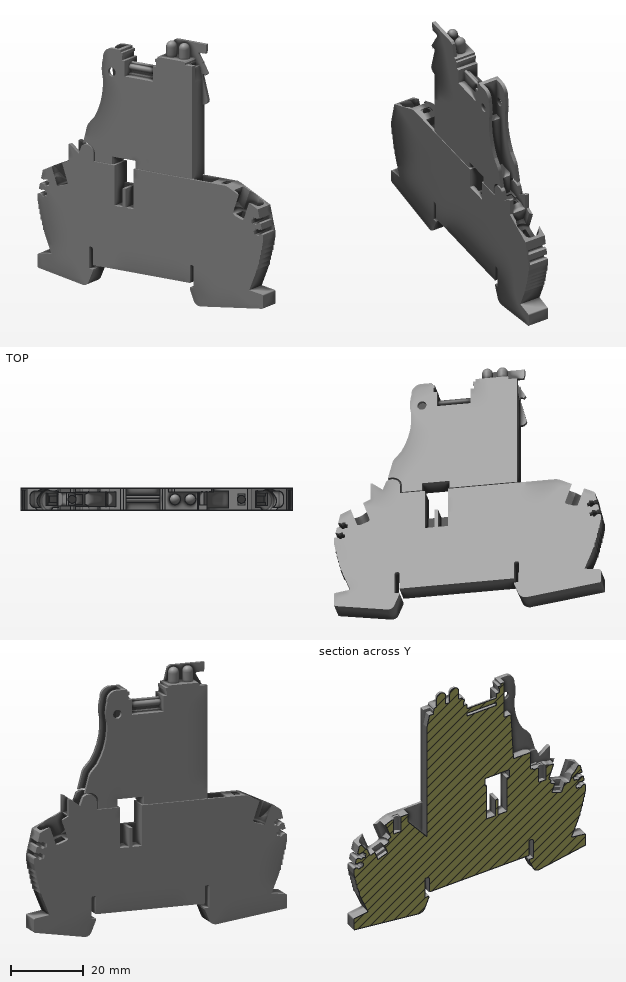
import cadquery as cq

LENGTH = 74.5
WIDTH = 6.1
HEIGHT = 73.17
END_X = LENGTH / 2
SIDE_Y = WIDTH / 2

DECK_Z = 35.7
RAIL_Z = 6.15
HOOK_Z = 4.9
HOOK_NOSE_Z = 4.4
RAIL_SLOT_TOP_Z = 11.3
RAIL_SLOT_WIDTH = 1.3
RAIL_SLOT_FILLET = RAIL_SLOT_WIDTH / 3
LEFT_SLOT_X = (-20.3, -20.3 + RAIL_SLOT_WIDTH)
RIGHT_SLOT_X = (13.05, 13.05 + RAIL_SLOT_WIDTH)
SHOULDER = (35.5, 30.66)
FOOT_TOP_Z = 6.55
FOOT_BOTTOM_Z = 2.6
END_FILLET = 0.4

GRIP_COUNT = 5
GRIP_START = (37.05, 20.75)
GRIP_END = (35.3, 13.55)
GRIP_DEPTH = 0.3

EAR_LEFT_X = -27.0
EAR_RIGHT_X = -18.75
EAR_TIP_Z = 39.4
EAR_TIP_WIDTH = 0.5
EAR_FOOT_Z = 34.6
EAR_VALLEY = (-23.63, 37.2)
EAR_CENTRE = (-21.15, 37.8)
EAR_RADIUS = EAR_RIGHT_X - EAR_CENTRE[0]
EAR_GAP = 0.5
EAR_CHANNEL_HALF_WIDTH = 1.85
EAR_CHANNEL_FLOOR_Z = 35.2
CHANNEL_STEP_X = -22.4
RECESS_END_X = -20.35

FUNNEL_TILT = 19.4
FUNNEL_RADIUS = 3.25
FUNNEL_Y = -0.4
FUNNEL_BOTTOM = (28.9, 27.3)
FUNNEL_FILLET = 0.5
FUNNEL_LENGTH = 12.0
THROAT_HALF_WIDTH = 2.3
THROAT_FILLET = 1.6
BLADE_SLOT_X = 3.2
BLADE_SLOTS = ((3.5, 2.0), (1.7, 3.0))

TEST_HOLE_X = 23.2
TEST_HOLE_DIAMETER = 2.2
TEST_HOLE_DEPTH = 5.0
TEST_RECESS = (1.9, 3.0, 0.3)

MARKER_BACK_Y = 2.6
MARKER_ROWS = 2
MARKER_STEP = (0.75, -3.05)

WINDOW_X = (-11.87, -5.47)
WINDOW_TOP_X = (-12.65, -4.93)
WINDOW_TOP_Z = 38.1
WINDOW_SILL_Z = 29.6
WELL_FLOOR_Z = 24.2
WELL_RIB_X = (-9.13, -8.2)
WELL_BACK_Y = 1.85

DECK_POCKET_X = (13.8, 19.7)
DECK_POCKET_Y = (-2.4, 2.3)
DECK_POCKET_DEPTHS = (10.0, 2.7)

MODULE_TOP_Z = 68.85
MODULE_RIGHT_X = 13.8
MODULE_GAP = 0.25
CHEEK = 1.02
CORE_HALF_WIDTH = SIDE_Y - CHEEK
CAVITY_FLOOR_Z = 41.5
CAVITY_LEDGE_Z = 56.9
CAVITY_LOWER_WALL_X = (-14.1, -13.3)
CAVITY_UPPER_WALL_X = -11.1
POST_HALF_WIDTH = 1.36
POST_X = -19.6
POST_CHAMFER_X = -18.4
PIVOT_X = -12.7
PIVOT_Z = 62.15
PIVOT_DIAMETER = 2.5

SADDLE_X = (-8.45, 0.88)
SADDLE_FLOOR_Z = 61.57
SADDLE_STEP_Z = 66.0
LATCH_Z = (67.3, 68.16)
BAR_Y = -0.05
BAR_RADIUS = 0.85
BAR_TOP_Z = 64.5
BAR_FOOT_Z = 62.0
BAR_FIN_Y = (0.25, 0.65, 1.1)
BAR_FIN_TOP_Z = 65.1

PIN_X = (5.0, 9.2)
PIN_DIAMETER = 3.0

CORNER_NOTCH_X = (11.5, MODULE_RIGHT_X)
CORNER_NOTCH_Z = 67.95
CORNER_POCKET_X = (11.7, 13.0)
CORNER_POCKET_Y = (-1.6, CORE_HALF_WIDTH)
CORNER_POCKET_FLOOR_Z = 66.9
CORNER_POCKET_EXIT_Z = 63.0

FLAG_THICKNESS = 1.0
FLAG_ROOT_X = 11.0


def prism(profile, y_low, y_high):
    """Extrude a closed XZ sketch drawn on the y_high plane down to y_low."""
    return profile(cq.Workplane("XZ", origin=(0, y_high, 0))).close().extrude(y_high - y_low)


def plate(points, y_low=-SIDE_Y, y_high=SIDE_Y):
    """Straight-sided plate from XZ corner points."""
    return prism(lambda plane: plane.polyline(points), y_low, y_high)


def block(x_range, y_range, z_range):
    """Axis-aligned box between the given limits."""
    size = [high - low for low, high in (x_range, y_range, z_range)]
    return cq.Workplane("XY").box(*size, centered=False).translate((x_range[0], y_range[0], z_range[0]))


def mirrored(points):
    return [(-x, z) for x, z in points]


def end_outline():
    """Right-hand end of the base, from the deck down to the foot."""
    points = [(24.9, DECK_Z), (25.9, 35.35), SHOULDER, (END_X, 23.3), (END_X, 21.9)]
    step_x = (GRIP_END[0] - GRIP_START[0]) / GRIP_COUNT
    step_z = (GRIP_END[1] - GRIP_START[1]) / GRIP_COUNT
    for tooth in range(1, GRIP_COUNT + 1):
        tip_x = GRIP_START[0] + step_x * (tooth - 0.5)
        z = GRIP_START[1] + step_z * tooth
        points += [(tip_x, z + abs(step_z) / 2), (tip_x, z), (tip_x - GRIP_DEPTH, z)]
    points += [(34.7, 12.1), (32.7, 7.2), (END_X, FOOT_TOP_Z), (END_X, FOOT_BOTTOM_Z)]
    return points


def base_body():
    """Full-width plate with two end feet, rail hooks and the ear bumps."""
    right = end_outline()
    right_hook = [(RIGHT_SLOT_X[0], HOOK_NOSE_Z), (RIGHT_SLOT_X[0], HOOK_Z), (RIGHT_SLOT_X[1], HOOK_Z)]
    right_hook += [(RIGHT_SLOT_X[1], RAIL_Z)]
    left_hook = [(LEFT_SLOT_X[0], RAIL_Z), (LEFT_SLOT_X[0], HOOK_Z), (LEFT_SLOT_X[1], HOOK_Z)]
    left_hook += [(LEFT_SLOT_X[1], HOOK_NOSE_Z)]
    left = mirrored(right[:1:-1])
    arc_start = (-22.7, 39.63)
    arc_top = (EAR_CENTRE[0], EAR_CENTRE[1] + EAR_RADIUS)

    def outline(plane):
        path = plane.polyline(right).lineTo(16.5, 0)
        path = path.threePointArc((15.15, 0.35), (14.35, 1.2))
        for point in right_hook + left_hook:
            path = path.lineTo(*point)
        path = path.lineTo(-20.4, 1.1).threePointArc((-21.1, 0.3), (-22.2, 0))
        for point in left:
            path = path.lineTo(*point)
        path = path.lineTo(EAR_LEFT_X, EAR_FOOT_Z).lineTo(EAR_LEFT_X, EAR_TIP_Z)
        path = path.lineTo(EAR_LEFT_X + EAR_TIP_WIDTH, EAR_TIP_Z).lineTo(*EAR_VALLEY).lineTo(*arc_start)
        path = path.threePointArc(arc_top, (EAR_RIGHT_X, EAR_CENTRE[1]))
        return path.lineTo(EAR_RIGHT_X, DECK_Z)

    body = prism(outline, -SIDE_Y, SIDE_Y)
    for slot in (LEFT_SLOT_X, RIGHT_SLOT_X):
        cutter = block(slot, (-SIDE_Y, SIDE_Y), (RAIL_Z, RAIL_SLOT_TOP_Z))
        body = body.cut(cutter.edges("|Y and >Z").fillet(RAIL_SLOT_FILLET))
    return body


def ear_channel():
    """Gap that splits the left bump into two thin ears, with a narrow recess in its stepped floor."""
    half = EAR_CHANNEL_HALF_WIDTH
    ears_top_z = EAR_TIP_Z + EAR_RADIUS
    outline = [
        (CHANNEL_STEP_X, EAR_CHANNEL_FLOOR_Z), (-24.8, EAR_CHANNEL_FLOOR_Z), (-25.8, 34.75),
        (EAR_LEFT_X, EAR_FOOT_Z), (EAR_LEFT_X, ears_top_z), (CHANNEL_STEP_X, ears_top_z),
    ]
    channel = plate(outline, -half, half)
    channel = channel.union(block((CHANNEL_STEP_X, EAR_RIGHT_X), (-half, half), (DECK_Z, ears_top_z)))
    recess_y = (-POST_HALF_WIDTH, POST_HALF_WIDTH)
    return channel.union(block((CHANNEL_STEP_X, RECESS_END_X), recess_y, (EAR_CHANNEL_FLOOR_Z, DECK_Z)))


def wire_funnel(side):
    """Tilted round entry with a stepped blade slot in its floor; side is +1 or -1 along X."""
    funnel = cq.Workplane("XY", origin=(0, FUNNEL_Y, 0)).circle(FUNNEL_RADIUS).extrude(FUNNEL_LENGTH)
    cutter = funnel.faces("<Z").edges().fillet(FUNNEL_FILLET)
    for width, depth in BLADE_SLOTS:
        cutter = cutter.union(cq.Workplane("XY").rect(BLADE_SLOT_X, width).extrude(-depth))
    cutter = cutter.rotate((0, 0, 0), (0, 1, 0), side * FUNNEL_TILT)
    return cutter.translate((side * FUNNEL_BOTTOM[0], 0, FUNNEL_BOTTOM[1]))


def wire_throat(side):
    """Wider mouth around the round entry, its outer wall leaning in towards the floor."""
    outline = [
        (34.75, 31.0), (33.55, 29.2), (31.7, 27.7), (28.0, 27.7), (25.4, 30.0),
        (27.05, 34.7), (34.75, 34.7),
    ]
    points = [(side * x, z) for x, z in outline]
    throat = plate(points, -THROAT_HALF_WIDTH, THROAT_HALF_WIDTH)
    outer_wall = ">X" if side > 0 else "<X"
    return throat.faces(outer_wall).edges("not |Y").fillet(THROAT_FILLET)


def test_hole(side, top_z):
    hole = cq.Workplane("XY").circle(TEST_HOLE_DIAMETER / 2).extrude(-TEST_HOLE_DEPTH)
    length_x, length_y, depth = TEST_RECESS
    recess = cq.Workplane("XY").rect(length_x, length_y).extrude(-depth)
    return hole.union(recess).translate((side * TEST_HOLE_X, 0, top_z))


def marker_groove(side, row):
    """Undercut groove in the end wall, open towards the end and the front."""
    outline = [
        (37.0, 28.1), (35.55, 28.1), (35.2, 27.85), (34.8, 28.1), (34.0, 28.1), (33.95, 27.6),
        (33.35, 27.4), (33.55, 26.3), (34.2, 26.5), (34.4, 26.15), (34.9, 26.15), (35.25, 26.6),
        (35.8, 26.85), (36.4, 26.7), (38.0, 26.7),
    ]
    points = [(side * (x + row * MARKER_STEP[0]), z + row * MARKER_STEP[1]) for x, z in outline]
    return plate(points, -SIDE_Y, MARKER_BACK_Y)


def bridge_window():
    """Through window over two blind wells separated by a rib."""
    through = (-SIDE_Y, SIDE_Y)
    cutter = block(WINDOW_X, through, (WINDOW_SILL_Z, WINDOW_TOP_Z))
    cutter = cutter.union(block(WINDOW_TOP_X, through, (DECK_Z, WINDOW_TOP_Z)))
    for x_range in ((WINDOW_X[0], WELL_RIB_X[0]), (WELL_RIB_X[1], WINDOW_X[1])):
        cutter = cutter.union(block(x_range, (-SIDE_Y, WELL_BACK_Y), (WELL_FLOOR_Z, WINDOW_SILL_Z)))
    return cutter


def deck_pocket():
    """Pocket behind the module whose floor rises towards +X."""
    left_x, right_x = DECK_POCKET_X
    left_depth, right_depth = DECK_POCKET_DEPTHS
    corners = [(left_x, DECK_Z), (right_x, DECK_Z), (right_x, DECK_Z - right_depth)]
    corners += [(left_x, DECK_Z - left_depth)]
    return plate(corners, *DECK_POCKET_Y)


def module_body():
    """Upright plate with a curved hand-grip edge and a saddle in its top."""
    saddle_left, saddle_right = SADDLE_X
    latch_low, latch_high = LATCH_Z
    saddle = [
        (2.3, MODULE_TOP_Z), (2.3, latch_high), (1.6, latch_high), (1.6, latch_low), (1.85, latch_low),
        (1.85, SADDLE_STEP_Z), (saddle_right, SADDLE_STEP_Z), (saddle_right, SADDLE_FLOOR_Z),
        (saddle_left, SADDLE_FLOOR_Z), (saddle_left, SADDLE_STEP_Z), (-9.4, SADDLE_STEP_Z),
        (-9.4, latch_low), (-9.15, latch_low), (-9.15, latch_high), (-9.9, latch_high),
        (-9.9, MODULE_TOP_Z), (-13.0, MODULE_TOP_Z),
    ]
    notch_left, notch_right = CORNER_NOTCH_X
    notch = [(notch_right, CORNER_NOTCH_Z), (notch_left, CORNER_NOTCH_Z), (notch_left, 68.5)]
    notch += [(notch_left - 0.35, MODULE_TOP_Z)]

    def outline(plane):
        path = plane.moveTo(MODULE_RIGHT_X, DECK_Z)
        for point in notch + saddle:
            path = path.lineTo(*point)
        path = path.threePointArc((-14.75, 68.1), (-15.6, 65.8))
        path = path.threePointArc((-16.05, 62.9), (-15.7, 60.0))
        path = path.threePointArc((-16.05, 54.7), (-18.55, 48.4))
        path = path.lineTo(-20.3, 46.5).threePointArc((-20.7, 45.9), (-21.0, 45.1))
        return path.lineTo(-22.75, 38.5).lineTo(-22.75, DECK_Z)

    return prism(outline, -SIDE_Y, SIDE_Y)


def module_cavity():
    """Space between the cheeks at the hand-grip edge, around a narrowed post."""
    left_x = EAR_LEFT_X
    lower = [(left_x, CAVITY_FLOOR_Z), (CAVITY_LOWER_WALL_X[0], CAVITY_FLOOR_Z)]
    upper = [(CAVITY_LOWER_WALL_X[1], CAVITY_LEDGE_Z), (CAVITY_UPPER_WALL_X, CAVITY_LEDGE_Z)]
    upper += [(CAVITY_UPPER_WALL_X, MODULE_TOP_Z), (left_x, MODULE_TOP_Z)]
    cavity = plate(lower + upper, -CORE_HALF_WIDTH, CORE_HALF_WIDTH)
    post_front = [
        (left_x, -CORE_HALF_WIDTH), (POST_CHAMFER_X, -CORE_HALF_WIDTH), (POST_X, -POST_HALF_WIDTH),
        (POST_X, POST_HALF_WIDTH), (POST_CHAMFER_X, CORE_HALF_WIDTH), (left_x, CORE_HALF_WIDTH),
    ]
    around_post = cq.Workplane("XY").workplane(offset=DECK_Z).polyline(post_front).close()
    return cavity.union(around_post.extrude(CAVITY_FLOOR_Z - DECK_Z))


def cheek_joint():
    """Open joint in each cheek, along the deck and around the ear."""
    gap_top = DECK_Z + MODULE_GAP
    outer_radius = EAR_RADIUS + EAR_GAP
    ear_disc = cq.Workplane("XZ", origin=(EAR_CENTRE[0], SIDE_Y, EAR_CENTRE[1]))
    joint = ear_disc.circle(outer_radius).extrude(WIDTH)
    through = (-SIDE_Y, SIDE_Y)
    ear_right = EAR_CENTRE[0] + outer_radius
    joint = joint.union(block((EAR_LEFT_X, ear_right), through, (DECK_Z, EAR_CENTRE[1])))
    joint = joint.union(block((EAR_LEFT_X, MODULE_RIGHT_X), through, (DECK_Z, gap_top)))
    core = block((EAR_LEFT_X, MODULE_RIGHT_X), (-CORE_HALF_WIDTH, CORE_HALF_WIDTH), (0, HEIGHT))
    return joint.cut(core)


def saddle_bar():
    """Round-fronted bar bridging the saddle, backed by an upright round-topped fin and carried on a foot."""
    span = SADDLE_X[1] - SADDLE_X[0]
    fin_front_y, fin_crest_y, fin_back_y = BAR_FIN_Y
    section = cq.Workplane("YZ", origin=(SADDLE_X[0], 0, 0))
    fin = section.moveTo(fin_back_y, SADDLE_FLOOR_Z).lineTo(fin_front_y, SADDLE_FLOOR_Z)
    fin = fin.lineTo(fin_front_y, BAR_TOP_Z)
    fin = fin.threePointArc((fin_crest_y, BAR_FIN_TOP_Z), (fin_back_y, BAR_TOP_Z))
    bar = fin.close().extrude(span)
    bar = bar.union(section.center(BAR_Y, BAR_TOP_Z - BAR_RADIUS).circle(BAR_RADIUS).extrude(span))
    foot_y = (BAR_Y - BAR_RADIUS, fin_front_y)
    return bar.union(block(SADDLE_X, foot_y, (SADDLE_FLOOR_Z, BAR_FOOT_Z)))


def indicator_pin(x):
    """Round pin with a hemispherical tip."""
    pin = cq.Workplane("XY", origin=(x, 0, MODULE_TOP_Z))
    radius = PIN_DIAMETER / 2
    straight = HEIGHT - MODULE_TOP_Z - radius
    tip = cq.Workplane("XY", origin=(x, 0, MODULE_TOP_Z + straight)).sphere(radius)
    return pin.circle(radius).extrude(straight).union(tip)


def corner_pocket():
    """Pocket in the notched top corner whose floor falls away steeply at the +X edge."""
    left_x, brink_x = CORNER_POCKET_X
    corners = [
        (left_x, CORNER_NOTCH_Z), (left_x, CORNER_POCKET_FLOOR_Z), (brink_x, CORNER_POCKET_FLOOR_Z),
        (MODULE_RIGHT_X, CORNER_POCKET_EXIT_Z), (MODULE_RIGHT_X, CORNER_NOTCH_Z),
    ]
    return plate(corners, *CORNER_POCKET_Y)


def rear_flag():
    """Thin release lever along the back, with a finger tab and two barbs behind the module."""
    outline = [
        (3.2, MODULE_TOP_Z), (4.2, 72.7), (4.9, HEIGHT), (15.0, HEIGHT), (15.0, 71.6), (14.75, 70.5),
        (12.6, 70.5), (12.3, 70.1), (15.35, 64.9), (14.7, 64.3), (14.4, 64.6), (MODULE_RIGHT_X, 64.6),
        (MODULE_RIGHT_X, 63.7), (15.55, 57.3), (15.4, 56.7), (14.7, 56.1), (MODULE_RIGHT_X, 55.95),
        (FLAG_ROOT_X, 55.95), (FLAG_ROOT_X, 66.0), (3.2, 66.0),
    ]
    return plate(outline, SIDE_Y - FLAG_THICKNESS, SIDE_Y)


def terminal_base():
    base = base_body().edges("|Y and (>X or <X)").fillet(END_FILLET)
    base = base.cut(ear_channel()).cut(deck_pocket())
    for side, hole_top in ((-1, EAR_CHANNEL_FLOOR_Z), (1, DECK_Z)):
        base = base.cut(wire_funnel(side)).cut(wire_throat(side)).cut(test_hole(side, hole_top))
        for row in range(MARKER_ROWS):
            base = base.cut(marker_groove(side, row))
    return base


def plug_module():
    module = module_body().cut(module_cavity()).cut(cheek_joint())
    pivot = cq.Workplane("XZ", origin=(PIVOT_X, SIDE_Y, PIVOT_Z)).circle(PIVOT_DIAMETER / 2)
    module = module.cut(pivot.extrude(WIDTH))
    module = module.cut(corner_pocket())
    module = module.union(saddle_bar()).union(rear_flag())
    for x in PIN_X:
        module = module.union(indicator_pin(x))
    return module


result = terminal_base().union(plug_module()).cut(bridge_window())